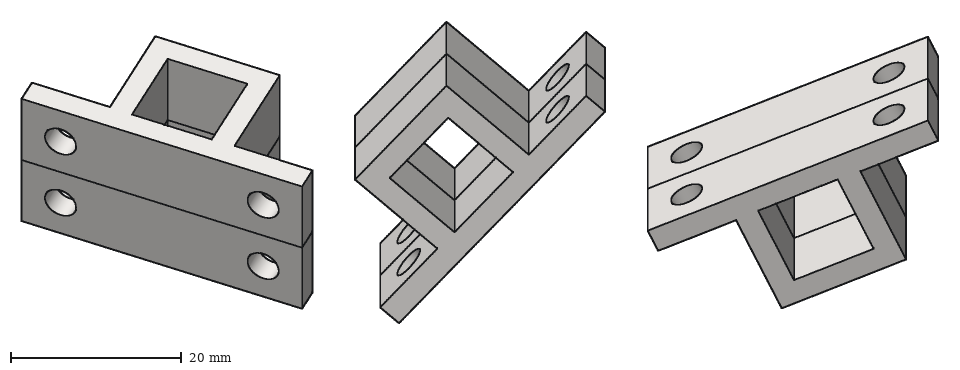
import cadquery as cq

plate_length = 36.0
plate_thickness = 3.0
total_depth = 16.0
total_height = 20.0
half_height = total_height / 2

socket_width = 16.0
opening_size = 10.22
opening_front = (total_depth - opening_size) / 2

hole_diameter = 4.0
hole_spacing = 26.0


def make_half(bottom):
    """One bracket half: flange plate, square socket and two screw holes."""
    plate = cq.Workplane("XY").box(
        plate_length, plate_thickness, half_height, centered=(True, False, False)
    )
    socket = cq.Workplane("XY").box(
        socket_width, total_depth, half_height, centered=(True, False, False)
    )
    opening = (
        cq.Workplane("XY")
        .box(opening_size, opening_size, half_height, centered=(True, False, False))
        .translate((0, opening_front, 0))
    )
    holes = (
        cq.Workplane("XZ")
        .pushPoints([(side * hole_spacing / 2, half_height / 2) for side in (-1, 1)])
        .circle(hole_diameter / 2)
        .extrude(-plate_thickness)
    )
    return plate.union(socket).cut(opening).cut(holes).translate((0, 0, bottom))


halves = [make_half(index * half_height) for index in range(2)]

result = cq.Compound.makeCompound([half.val() for half in halves])